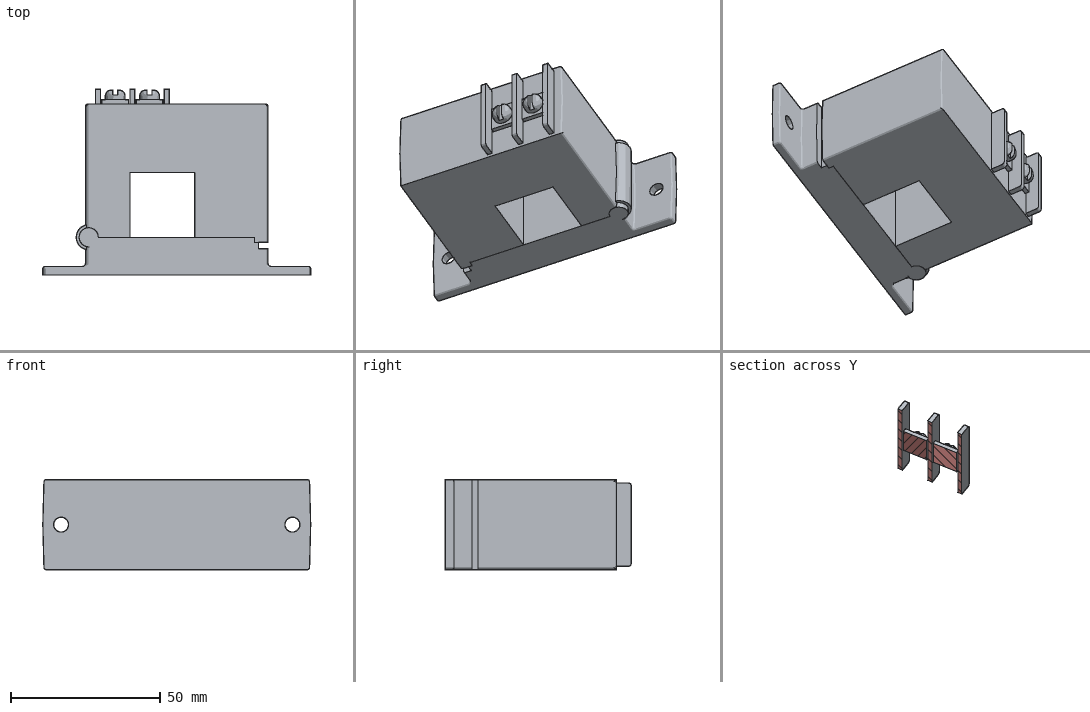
import cadquery as cq
import math

HEIGHT = 30.2
DEPTH = 62.28
PLATE_WIDTH = 89.7
BODY_WIDTH = 61.2
BODY_REAR = 57.3
PLATE_THICKNESS = 3.0
DRAFT_ANGLE = 1.5
EDGE_RADIUS = 0.9

PARTING = 12.7
STEP_X = 26.0
STEP_DROP = 1.7
NOTCH_X = 27.4
NOTCH_DEPTH = 2.1

WINDOW_LEFT = -15.6
WINDOW_SIZE = 21.6

HINGE_X = -29.45
PIN_RADIUS = 3.2
BARREL_RADIUS = 4.2
BARREL_LENGTH = 26.1

HOLE_DIAMETER = 4.9
HOLE_SPACING = 77.4

TERMINAL_PITCH = 11.5
TERMINAL_CENTER_X = -14.85
FIN_WIDTH = 1.7
FIN_HEIGHT = 27.9
FIN_RADIUS = 1.0
CLAMP_SIZE = 9.0
CLAMP_THICKNESS = 1.45
SCREW_DIAMETER = 6.7
SCREW_HEIGHT = 3.2
SCREW_DOME_RADIUS = 2.0
SLOT_WIDTH = 1.6
SLOT_DEPTH = 1.6

HALF_HEIGHT = HEIGHT / 2
STEP_Y = PARTING - STEP_DROP
NOTCH_FLOOR = STEP_Y - NOTCH_DEPTH
PIN_END_LENGTH = (HEIGHT - BARREL_LENGTH) / 2
CLAMP_FACE = BODY_REAR + CLAMP_THICKNESS


def box(x_min, x_max, y_min, y_max, height):
    """Block between the given X and Y limits, centred on the mid-height plane."""
    block = cq.Workplane("XY").box(x_max - x_min, y_max - y_min, height)
    return block.translate(((x_min + x_max) / 2, (y_min + y_max) / 2, 0))


def drafted_block(width, y_min, y_max):
    """Full-height block whose two ends lean inward above and below mid-height."""
    middle = width / 2
    tip = middle - HALF_HEIGHT * math.tan(math.radians(DRAFT_ANGLE))
    outline = [
        (-middle, 0),
        (-tip, HALF_HEIGHT),
        (tip, HALF_HEIGHT),
        (middle, 0),
        (tip, -HALF_HEIGHT),
        (-tip, -HALF_HEIGHT),
    ]
    block = cq.Workplane("XZ", origin=(0, y_min, 0)).polyline(outline).close()
    return block.extrude(y_min - y_max)


def hinge_cylinder(radius, z_min, length):
    """Cylinder on the hinge axis."""
    return cq.Workplane("XY", origin=(HINGE_X, PARTING, z_min)).circle(radius).extrude(length)


def hinge_barrel():
    """Thick middle length of the hinge, part of the housing."""
    return hinge_cylinder(BARREL_RADIUS, -BARREL_LENGTH / 2, BARREL_LENGTH)


def pin_ends():
    """The two pin ends, above and below the barrel."""
    upper = hinge_cylinder(PIN_RADIUS, BARREL_LENGTH / 2, PIN_END_LENGTH)
    lower = hinge_cylinder(PIN_RADIUS, -HALF_HEIGHT, PIN_END_LENGTH)
    return upper.add(lower)


def base_region():
    """Everything in front of the stepped parting surface."""
    reach = PLATE_WIDTH
    return (
        cq.Workplane("XY", origin=(0, 0, -HEIGHT))
        .moveTo(-reach, -reach)
        .lineTo(-reach, PARTING)
        .lineTo(STEP_X, PARTING)
        .lineTo(STEP_X, STEP_Y)
        .lineTo(reach, STEP_Y)
        .lineTo(reach, -reach)
        .close()
        .extrude(2 * HEIGHT)
    )


def make_base():
    """Mounting plate with the front part of the body and the hinge pin ends."""
    plate = drafted_block(PLATE_WIDTH, 0, PLATE_THICKNESS)
    base = plate.union(drafted_block(BODY_WIDTH, 0, 2 * PARTING))

    at_plate_back = cq.selectors.BoxSelector(
        (-PLATE_WIDTH, PLATE_THICKNESS / 2, -HEIGHT),
        (PLATE_WIDTH, PARTING / 2, HEIGHT),
    )
    upright_edges = base.edges(at_plate_back).edges("(not |X) and (not |Y)")
    base = upright_edges.fillet(EDGE_RADIUS)

    for face in ("<Z", ">Z"):
        base = base.faces(face).edges("not (<Y or >Y)").fillet(EDGE_RADIUS)

    notch = box(NOTCH_X, BODY_WIDTH, NOTCH_FLOOR, STEP_Y, HEIGHT)
    base = base.intersect(base_region()).cut(notch)
    base = base.cut(hinge_barrel()).union(pin_ends())
    holes = (
        cq.Workplane("XZ")
        .rarray(HOLE_SPACING, 1, 2, 1)
        .circle(HOLE_DIAMETER / 2)
        .extrude(-PLATE_THICKNESS)
    )
    return base.cut(holes)


def make_fin(center_x):
    """Upright insulating fin on the rear wall, rounded at its two outer corners."""
    half = FIN_WIDTH / 2
    fin = box(center_x - half, center_x + half, BODY_REAR, DEPTH, FIN_HEIGHT)
    return fin.edges("|X and >Y").fillet(FIN_RADIUS)


def make_housing():
    """Rear part of the body with the window, the hinge barrel and the terminal fins."""
    body = drafted_block(BODY_WIDTH, 0, BODY_REAR)
    body = body.edges("(>Y and (not |X)) or (|Y and (>Z or <Z))").fillet(EDGE_RADIUS)
    window = box(WINDOW_LEFT, WINDOW_LEFT + WINDOW_SIZE, PARTING, PARTING + WINDOW_SIZE, HEIGHT)
    housing = body.cut(base_region()).cut(window)
    housing = housing.cut(pin_ends()).union(hinge_barrel())
    for step in (-1, 0, 1):
        housing = housing.union(make_fin(TERMINAL_CENTER_X + step * TERMINAL_PITCH))
    return housing


def make_clamp(center_x):
    """Square clamp plate lying on the rear wall."""
    half = CLAMP_SIZE / 2
    return box(center_x - half, center_x + half, BODY_REAR, CLAMP_FACE, CLAMP_SIZE)


def make_screw(center_x):
    """Slotted, domed screw head resting on its clamp plate."""
    head = (
        cq.Workplane("XZ", origin=(center_x, CLAMP_FACE, 0))
        .circle(SCREW_DIAMETER / 2)
        .extrude(-SCREW_HEIGHT)
        .faces(">Y")
        .edges()
        .fillet(SCREW_DOME_RADIUS)
    )
    top = CLAMP_FACE + SCREW_HEIGHT
    half = SLOT_WIDTH / 2
    return head.cut(box(center_x - half, center_x + half, top - SLOT_DEPTH, top, SCREW_DIAMETER))


base = make_base()
housing = make_housing()
terminal_places = [TERMINAL_CENTER_X + side * TERMINAL_PITCH / 2 for side in (-1, 1)]
clamps = [make_clamp(x) for x in terminal_places]
screws = [make_screw(x) for x in terminal_places]

result = cq.Compound.makeCompound(
    [base.val(), housing.val(), *[clamp.val() for clamp in clamps], *[screw.val() for screw in screws]]
)